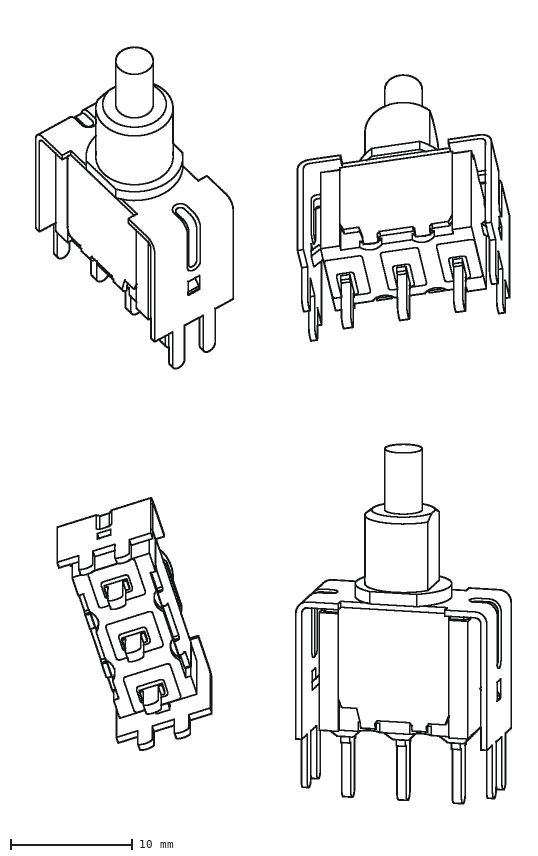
import cadquery as cq
import math


total_height = 29.78
button_diameter = 3.1
bushing_radius = 3.2
bushing_top = 24.6
bushing_flat_x = -2.55
bushing_chamfer_height = 0.45
bushing_chamfer_width = 0.57
washer_radius = 4.0
washer_width = 6.9
washer_top = 18.35

bracket_length = 16.25
bracket_width = 8.13
bracket_top = 17.3
sheet = 0.5
bend_radius = 1.0
side_bottom = 5.63
notch_length = 9.05
bridge_width = 6.3
leg_pitch = 3.15
leg_width = 1.25
leg_tip = 0.98

groove_width = 1.35
groove_floor_width = 0.8
groove_depth = 0.18
groove_top_end = 5.63
groove_bottom_end = 11.65

window_width = 1.15
window_bottom = 9.0
window_top = 10.6
tongue_lip = 0.3
tongue_setback = 0.1
tongue_reach = 1.05

body_length = 12.65
body_width = 6.7
body_bottom = 6.3
cap_height = 0.5
cap_corner = 0.48
cover_length = 9.4
cover_width = 6.75
cover_sheet = 0.48
cover_edge_radius = 0.45
cover_tab_pitch = 4.38
cover_tab_width = 1.25
cover_tab_bottom = 6.6
cover_tab_top = 7.15
cover_hem = 7.42
cover_step = 8.37
tab_slot_width = 1.85
tab_slot_top = 7.1
tab_slot_radius = 1.2

pin_pitch = 4.7
pin_thickness = 0.77
pin_width = 1.3
shoulder_width = 1.97
shoulder_bottom = 4.8
skirt_bottom = 5.35
skirt_top_x, skirt_top_y = 3.2, 4.05
skirt_bottom_x, skirt_bottom_y = 1.45, 2.38
skirt_corner_radius = 0.35

half_length = bracket_length / 2
bracket_underside = bracket_top - sheet
core_width = cover_width - 2 * cover_sheet


def block(size_x, size_y, z_low, z_high, x=0, y=0):
    """Upright block centred on (x, y) between two heights."""
    solid = cq.Workplane("XY").box(size_x, size_y, z_high - z_low, centered=(True, True, False))
    return solid.translate((x, y, z_low))


def round_ended_blade(thickness, width, tip, top, x, y=0):
    """Flat vertical blade with a fully rounded lower tip."""
    radius = width / 2
    outline = (
        cq.Workplane("YZ")
        .moveTo(-radius, top)
        .lineTo(-radius, tip + radius)
        .threePointArc((0, tip), (radius, tip + radius))
        .lineTo(radius, top)
        .close()
    )
    return outline.extrude(thickness / 2, both=True).translate((x, y, 0))


def both_ends(solid):
    """The solid together with its mirror image at the opposite X end."""
    return solid.union(solid.mirror("YZ"))


def button_and_bushing():
    bushing = (
        cq.Workplane("XY", origin=(0, 0, bracket_top))
        .circle(bushing_radius)
        .extrude(bushing_top - bracket_top)
        .faces(">Z")
        .chamfer(bushing_chamfer_height, bushing_chamfer_width)
    )
    flat_depth = bushing_radius + bushing_flat_x
    bushing = bushing.cut(
        block(flat_depth, 2 * bushing_radius, washer_top, bushing_top, bushing_flat_x - flat_depth / 2)
    )
    washer = cq.Workplane("XY", origin=(0, 0, bracket_top)).circle(washer_radius)
    washer = washer.extrude(washer_top - bracket_top)
    washer = washer.intersect(block(2 * washer_radius, washer_width, bracket_top, washer_top))
    button = cq.Workplane("XY", origin=(0, 0, bracket_top)).circle(button_diameter / 2)
    button = button.extrude(total_height - bracket_top)
    return washer.union(bushing).union(button)


def groove_form(inset):
    """Tapered round-ended bar along the -X bend, starting `inset` below the outer surface."""
    radius = bend_radius - inset
    surface_x = -half_length + inset
    surface_z = bracket_top - inset
    bend_x = -half_length + bend_radius
    bend_z = bracket_top - bend_radius
    start_x = -groove_top_end - groove_width / 2
    end_z = groove_bottom_end + groove_width / 2
    diagonal = radius * math.sqrt(0.5)
    path = (
        cq.Workplane("XZ")
        .moveTo(start_x, surface_z)
        .lineTo(bend_x, surface_z)
        .threePointArc((bend_x - diagonal, bend_z + diagonal), (surface_x, bend_z))
        .lineTo(surface_x, end_z)
    )
    section = (
        cq.Workplane("YZ", origin=(start_x, 0, 0))
        .moveTo(-groove_width / 2, surface_z)
        .lineTo(groove_width / 2, surface_z)
        .lineTo(groove_floor_width / 2, surface_z - groove_depth)
        .lineTo(-groove_floor_width / 2, surface_z - groove_depth)
        .close()
    )
    bar = section.sweep(path)
    end_cone = (groove_width / 2, groove_floor_width / 2, groove_depth)
    top_end = cq.Solid.makeCone(*end_cone, pnt=(start_x, 0, surface_z), dir=(0, 0, -1))
    bottom_end = cq.Solid.makeCone(*end_cone, pnt=(surface_x, 0, end_z), dir=(1, 0, 0))
    return bar.union(top_end).union(bottom_end)


def bracket_tongue():
    """Tongue bent 45 degrees inward from the lower edge of the -X window."""
    outer_x = -half_length
    tip_drop = sheet * math.sqrt(0.5)
    start_x = outer_x + tongue_setback
    tip_x = start_x + tongue_reach
    tip_z = window_bottom + tongue_lip + tongue_reach
    lower_rise = (tip_x + tip_drop) - (outer_x + sheet)
    outline = [
        (start_x, window_bottom),
        (start_x, window_bottom + tongue_lip),
        (tip_x, tip_z),
        (tip_x + tip_drop, tip_z - tip_drop),
        (outer_x + sheet, tip_z - tip_drop - lower_rise),
        (outer_x + sheet, window_bottom),
    ]
    return cq.Workplane("XZ").polyline(outline).close().extrude(window_width / 2, both=True)


def bracket():
    outer = block(bracket_length, bracket_width, side_bottom, bracket_top)
    outer = outer.edges("|Y and >Z").fillet(bend_radius)
    inner = block(bracket_length - 2 * sheet, bracket_width, side_bottom, bracket_underside)
    inner = inner.edges("|Y and >Z").fillet(bend_radius - sheet)
    sheet_metal = outer.cut(inner)

    notch_depth = (bracket_width - bridge_width) / 2
    for side in (-1, 1):
        notch_y = side * (bridge_width + notch_depth) / 2
        sheet_metal = sheet_metal.cut(
            block(notch_length, notch_depth, bracket_underside, bracket_top, y=notch_y)
        )

    wall_x = -half_length + sheet / 2
    window = block(sheet, window_width, window_bottom, window_top, wall_x)
    sheet_metal = sheet_metal.cut(both_ends(window))
    sheet_metal = sheet_metal.union(both_ends(bracket_tongue()))
    sheet_metal = sheet_metal.union(both_ends(groove_form(sheet)))
    sheet_metal = sheet_metal.cut(both_ends(groove_form(0)))
    for side in (-1, 1):
        leg = round_ended_blade(sheet, leg_width, leg_tip, side_bottom, wall_x, side * leg_pitch / 2)
        sheet_metal = sheet_metal.union(both_ends(leg))
    return sheet_metal


def cover_side():
    """Front wall of the cover: stepped lower hem, rounded top edge and two tabs with a rounded lower edge."""
    half_cover = cover_length / 2
    inner_tab_edge = (cover_tab_pitch - cover_tab_width) / 2
    outer_tab_edge = inner_tab_edge + cover_tab_width
    hem_corner = 0.18
    slant = 0.3
    left_corner_rise = 0.77
    step_rise = 0.77
    step_start = 3.13
    outline = [
        (-half_cover, bracket_underside),
        (-half_cover, cover_hem + left_corner_rise),
        (-half_cover + slant, cover_hem),
        (-outer_tab_edge - hem_corner, cover_hem),
        (-outer_tab_edge, cover_tab_top),
        (-inner_tab_edge, cover_tab_top),
        (-inner_tab_edge + hem_corner, cover_hem),
        (inner_tab_edge - hem_corner, cover_hem),
        (inner_tab_edge, cover_tab_top),
        (outer_tab_edge, cover_tab_top),
        (step_start, cover_step),
        (half_cover - slant, cover_step),
        (half_cover, cover_step + step_rise),
        (half_cover, bracket_underside),
    ]
    front_y = -cover_width / 2
    wall = cq.Workplane("XZ", origin=(0, front_y, 0)).polyline(outline).close().extrude(-cover_sheet)
    wall = wall.edges("|X and >Z and <Y").fillet(cover_edge_radius)
    for tab_x in (-cover_tab_pitch / 2, cover_tab_pitch / 2):
        tab = block(
            cover_tab_width, cover_sheet, cover_tab_bottom, cover_tab_top, tab_x, front_y + cover_sheet / 2
        )
        wall = wall.union(tab.edges("|X and <Z and <Y").fillet(cover_edge_radius))
    return wall


def body():
    cap_bottom = bracket_underside - cap_height
    end_length = (body_length - cover_length) / 2
    cap = block(body_length, core_width, cap_bottom, bracket_underside).edges("|Z").chamfer(cap_corner)
    core = block(body_length, core_width, body_bottom, cap_bottom).union(cap)
    end_column = block(
        end_length, body_width, body_bottom, cap_bottom, -(body_length - end_length) / 2
    )
    core = core.union(both_ends(end_column))
    slot_axis_y = core_width / 2 + math.sqrt(tab_slot_radius**2 - (tab_slot_width / 2) ** 2)
    for tab_x in (-cover_tab_pitch / 2, cover_tab_pitch / 2):
        for side in (-1, 1):
            slot = cq.Workplane("XY", origin=(tab_x, side * slot_axis_y, body_bottom))
            core = core.cut(slot.circle(tab_slot_radius).extrude(tab_slot_top - body_bottom))
    front_cover = cover_side()
    return core.union(front_cover).union(front_cover.mirror("XZ"))


def contact(x):
    """Contact pin with its shoulder and the tapered skirt below the body."""
    skirt = (
        cq.Workplane("XY", origin=(x, 0, body_bottom))
        .rect(skirt_top_x, skirt_top_y)
        .workplane(offset=skirt_bottom - body_bottom)
        .rect(skirt_bottom_x, skirt_bottom_y)
        .loft()
    )
    skirt = skirt.edges("not #Z").fillet(skirt_corner_radius)
    shoulder = block(pin_thickness, shoulder_width, shoulder_bottom, body_bottom, x)
    pin = round_ended_blade(pin_thickness, pin_width, 0, body_bottom, x)
    return skirt.union(shoulder).union(pin)


result = body().union(bracket()).union(button_and_bushing())
for pin_x in (-pin_pitch, 0, pin_pitch):
    result = result.union(contact(pin_x))